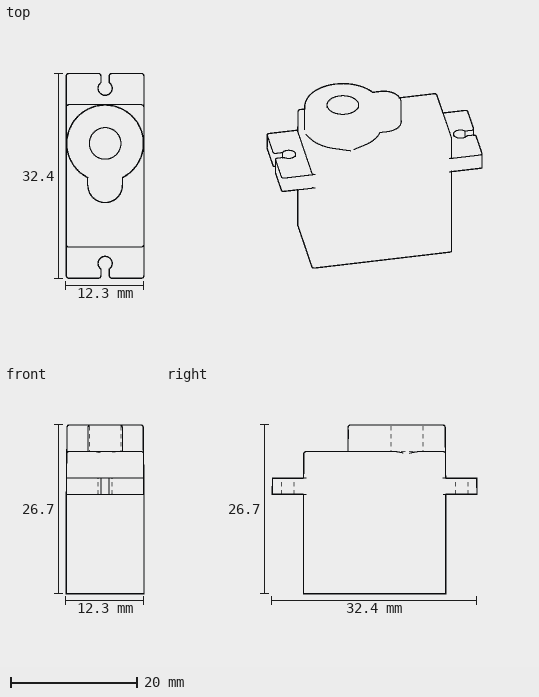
import cadquery as cq
import math

width = 12.3
case_length = 22.55
flange_bottom = 15.7
edge_radius = 0.4

draft_angle = 0.5
flange_length = 32.4
flange_thickness = 2.6
lid_top = 22.5

screw_hole_diameter = 2.2
screw_hole_offset = 13.85
slot_width = 1.3

part_top = 26.7
tongue_width = 5.5
tongue_center_y = -1.5
bore_diameter = 5.0

cap_base = lid_top - edge_radius
draft_inset = (cap_base - flange_bottom) * math.tan(math.radians(draft_angle))
cap_height = part_top - cap_base
cap_radius = width / 2 - draft_inset
cap_center_y = case_length / 2 - draft_inset - cap_radius
tongue_radius = tongue_width / 2
ear_length = (flange_length - case_length) / 2


def drafted_block(length, height):
    """Block of the full width, standing on the flange plane and narrowing upwards."""
    return (
        cq.Workplane("XY", origin=(0, 0, flange_bottom))
        .rect(width, length)
        .extrude(height, taper=draft_angle)
    )


def lower_case():
    block = cq.Workplane("XY").rect(width, case_length).extrude(flange_bottom)
    return block.edges("not(#Z)").fillet(edge_radius)


def lid():
    block = drafted_block(case_length, lid_top - flange_bottom)
    return block.edges("not(#Z)").fillet(edge_radius).faces(">Z").edges().fillet(edge_radius)


def screw_slot(side):
    """Cutter for one ear: a round hole opening outwards through a narrow slot."""
    base = cq.Workplane("XY", origin=(0, side * screw_hole_offset, flange_bottom))
    hole = base.circle(screw_hole_diameter / 2).extrude(flange_thickness)
    slot = base.center(0, side * ear_length / 2).rect(slot_width, ear_length).extrude(flange_thickness)
    return hole.union(slot)


def flange():
    plate = drafted_block(flange_length, flange_thickness)
    for side in (-1, 1):
        plate = plate.cut(screw_slot(side))
    for side in (-1, 1):
        end_y = side * flange_length / 2
        ear_end = cq.selectors.BoxSelector(
            (-width, end_y - edge_radius, flange_bottom),
            (width, end_y + edge_radius, flange_bottom + flange_thickness),
        )
        plate = plate.edges("not(#Z)").edges(ear_end).fillet(edge_radius)
    return plate


def gear_cap():
    """Drafted round cap with a round-ended tongue towards -Y and a blind bore."""
    half_angle = math.asin(tongue_radius / cap_radius)
    joint_y = cap_center_y - cap_radius * math.cos(half_angle)
    cap = (
        cq.Workplane("XY", origin=(0, 0, cap_base))
        .moveTo(tongue_radius, joint_y)
        .threePointArc((0, cap_center_y + cap_radius), (-tongue_radius, joint_y))
        .lineTo(-tongue_radius, tongue_center_y)
        .threePointArc((0, tongue_center_y - tongue_radius), (tongue_radius, tongue_center_y))
        .close()
        .extrude(cap_height, taper=draft_angle)
        .faces(">Z")
        .edges()
        .fillet(edge_radius)
    )
    bore = (
        cq.Workplane("XY", origin=(0, cap_center_y, lid_top))
        .circle(bore_diameter / 2)
        .extrude(part_top - lid_top)
    )
    return cap.cut(bore)


result = lower_case().union(flange()).union(lid()).union(gear_cap())